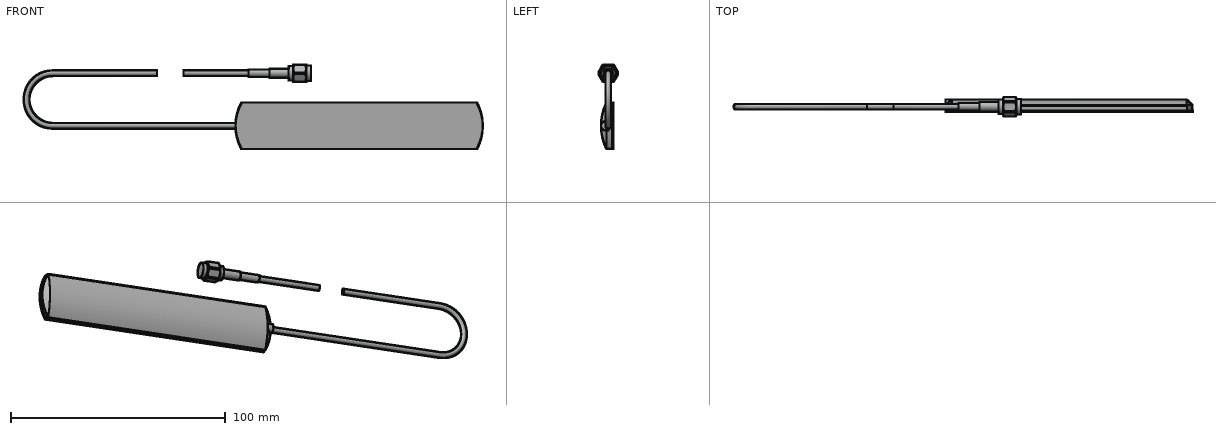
import cadquery as cq
import math


total_length = 214.0
total_height = 39.5

panel_left = 98.6
panel_height = 21.8
panel_front = -2.4
film_thickness = 0.6
slab_inset = 0.2
slab_back = 0.32
rim_height = 0.5
dome_back = 3.5
end_bulge = 2.8
end_slope = 45.0
dome_trim_half_height = 17.1

nut_diameter = 9.2
nut_flat_width = 8.3
nut_point_width = nut_flat_width / math.cos(math.pi / 6)

cable_radius = 1.4
cable_break_end = 62.2
cable_stub_start = 74.5
lower_axis_z = panel_height / 2
upper_axis_z = total_height - nut_flat_width / 2
bend_radius = (upper_axis_z - lower_axis_z) / 2
bend_center_x = bend_radius + cable_radius
bend_center_z = (upper_axis_z + lower_axis_z) / 2

boss_radius = 2.1
boss_length = 5.3

sleeve_start = 104.8
sleeve_radius = 1.82
ferrule_start = 114.5
ferrule_radius = 2.1
collar_start = 123.5
collar_radius = 3.5
nut_start = 125.3
nut_end = 131.8
nut_bevel = 0.6
connector_end = 134.0
rim_radius = 3.6


def panel_outline(front, inset, half_height):
    """Outline at Y = front, set in at both ends, whose end arcs share the panel's end radius."""
    mid_z = panel_height / 2
    half_panel = panel_height / 2
    end_radius = (half_panel**2 + end_bulge**2) / (2 * end_bulge)
    arc_depth = end_radius - math.sqrt(end_radius**2 - half_height**2)
    left = panel_left + inset
    right = total_length - inset
    low = mid_z - half_height
    high = mid_z + half_height
    return (
        cq.Workplane("XZ", origin=(0, front, 0))
        .moveTo(left + arc_depth, low)
        .lineTo(right - arc_depth, low)
        .threePointArc((right, mid_z), (right - arc_depth, high))
        .lineTo(left + arc_depth, high)
        .threePointArc((left, mid_z), (left + arc_depth, low))
        .close()
    )


def make_panel():
    half_height = panel_height / 2
    slab_half_height = half_height - slab_inset
    slab_front = panel_front + film_thickness
    film = panel_outline(panel_front, 0, half_height).extrude(-film_thickness)
    slab = panel_outline(slab_front, slab_inset, slab_half_height).extrude(slab_front - slab_back)
    arc_start = slab_back + rim_height
    dome = (
        cq.Workplane("YZ", origin=(panel_left, 0, 0))
        .moveTo(slab_back, 0)
        .lineTo(arc_start, 0)
        .threePointArc((dome_back, half_height), (arc_start, panel_height))
        .lineTo(slab_back, panel_height)
        .close()
        .extrude(total_length - panel_left)
    )
    trim_rim = panel_outline(slab_back, slab_inset, dome_trim_half_height).extrude(-rim_height)
    trim_slope = panel_outline(arc_start, slab_inset, dome_trim_half_height).extrude(
        arc_start - dome_back, taper=end_slope
    )
    dome = dome.intersect(trim_rim.union(trim_slope))
    return film.union(slab).union(dome)


def make_boss():
    center_y = dome_back - boss_radius
    low = lower_axis_z - boss_radius
    high = lower_axis_z + boss_radius
    return (
        cq.Workplane("YZ", origin=(panel_left, 0, 0))
        .moveTo(0, low)
        .lineTo(center_y, low)
        .threePointArc((dome_back, lower_axis_z), (center_y, high))
        .lineTo(0, high)
        .close()
        .extrude(boss_length)
    )


def make_cable(end_x):
    path = (
        cq.Workplane("XZ")
        .moveTo(end_x, lower_axis_z)
        .lineTo(bend_center_x, lower_axis_z)
        .threePointArc((cable_radius, bend_center_z), (bend_center_x, upper_axis_z))
        .lineTo(cable_break_end, upper_axis_z)
    )
    return (
        cq.Workplane("YZ", origin=(end_x, 0, lower_axis_z))
        .circle(cable_radius)
        .sweep(path)
    )


def make_antenna():
    cable = make_cable(panel_left + boss_length)
    return make_panel().union(make_boss()).union(cable)


def connector_cylinder(start, end, radius):
    return (
        cq.Workplane("YZ", origin=(start, 0, upper_axis_z))
        .circle(radius)
        .extrude(end - start)
    )


def make_nut():
    hexagon = (
        cq.Workplane("YZ", origin=(nut_start, 0, upper_axis_z))
        .polygon(6, nut_point_width)
        .extrude(nut_end - nut_start)
    )
    envelope = (
        connector_cylinder(nut_start, nut_end, nut_diameter / 2)
        .faces("<X or >X")
        .chamfer(nut_bevel)
    )
    return hexagon.intersect(envelope)


def make_connector():
    nut = make_nut()
    stub = connector_cylinder(cable_stub_start, sleeve_start, cable_radius)
    sleeve = connector_cylinder(sleeve_start, ferrule_start, sleeve_radius)
    ferrule = connector_cylinder(ferrule_start, collar_start, ferrule_radius)
    collar = connector_cylinder(collar_start, nut_start, collar_radius)
    rim = connector_cylinder(nut_end, connector_end, rim_radius)
    return stub.union(sleeve).union(ferrule).union(collar).union(nut).union(rim)


antenna = make_antenna()
connector = make_connector()
result = cq.Compound.makeCompound([antenna.val(), connector.val()])